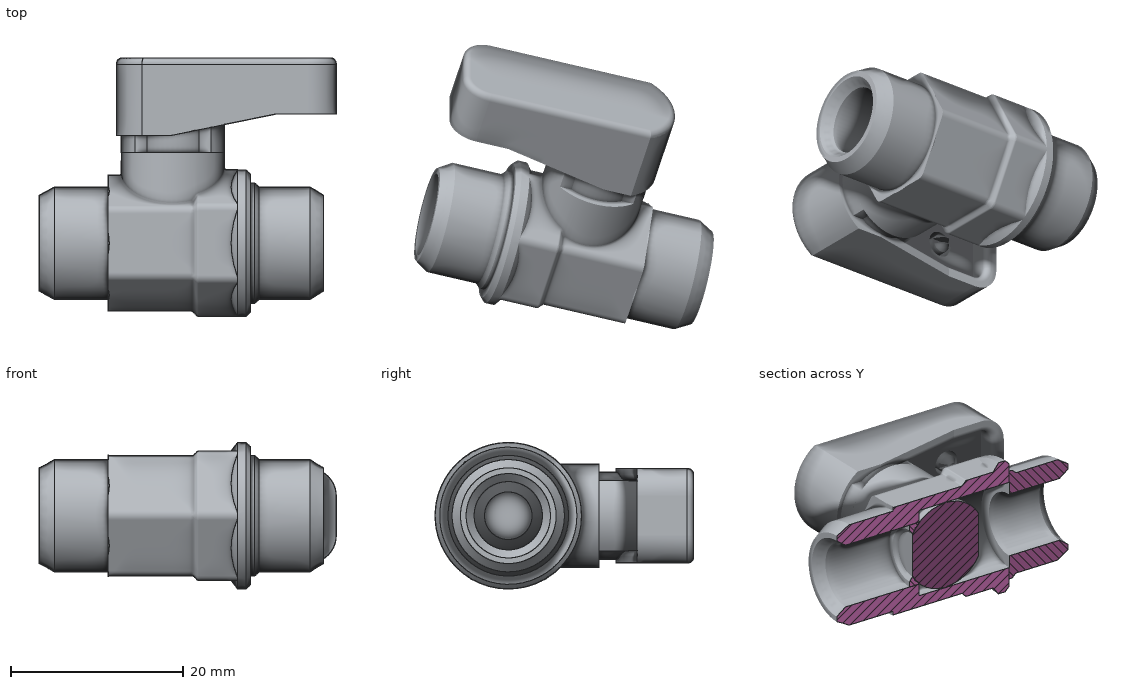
import cadquery as cq
import math


tolerance = 0.005

overall_length = 34.5

pipe_radius = 6.52
pipe_chamfer_radius = 5.55
bore_radius = 3.97
bore_mouth_radius = 4.9
bore_mouth_depth = 1.28
inlet_end = -15.52
inlet_chamfer_length = 1.75
outlet_end = 17.5
outlet_chamfer_length = 1.55

hex_start = -7.52
hex_step = 2.35
small_hex_apothem = 6.97
large_hex_apothem = 7.52
hex_corner_radius = 1.0
step_height = large_hex_apothem - small_hex_apothem
step_overlap = 0.2
step_blend = 0.28
lip_radius = 7.07
lip_width = 0.15

flange_diameter = 17.0
flange_radius = flange_diameter / 2
flange_cone_start = 6.75
flange_rim_start = 7.52
flange_rim_end = 8.5
flange_end = 9.05
flange_end_radius = 7.97

collar_radius = 7.0
collar_chamfer_start = 9.5
collar_end = 10.0

boss_radius = 6.0
boss_top = 10.55
boss_blend = 0.2

ball_radius = 5.5
ball_flat_radius = 2.75
seat_mouth_radius = 3.3
seat_thickness = 0.4
ball_flat_offset = math.sqrt(ball_radius**2 - ball_flat_radius**2)
chamber_start = -math.sqrt(ball_radius**2 - bore_radius**2)
seat_face = -ball_flat_offset - seat_thickness

handle_top = 21.53
handle_half_width = 5.5
handle_end = inlet_end + overall_length
handle_hub_end_radius = 6.55
handle_corner_radius = 3.17
skirt_bottom = 12.5
grip_bottom = 14.97
slope_start = -0.3
slope_end = 11.9
hub_radius = 5.07
hub_ear_half_width = 4.07

rim_width = 0.75
mouth_fillet = 0.7
hollow_wall = rim_width + mouth_fillet
hollow_roof = 17.45

cap_thickness = 0.75
cap_edge_fillet = 0.72
cap_bottom = handle_top - cap_thickness
stud_x = 12.55
stud_hole_radius = 1.55
stud_radius = 1.1
stud_tip_radius = 0.5
stud_shoulder = 17.18
stud_tip = 16.2
stud_slot_width = 0.7


def revolve_about_pipe(points):
    """Turn a closed (x, radius) outline about the pipe axis."""
    return cq.Workplane("XY").polyline(points).close().revolve(360, (0, 0, 0), (1, 0, 0))


def hex_bar(apothem, start, end):
    """Hexagonal bar along X with two flats facing +Z and -Z and rounded corners."""
    across_corners = 2 * apothem / math.cos(math.pi / 6)
    bar = cq.Workplane("YZ", origin=(start, 0, 0)).polygon(6, across_corners).extrude(end - start)
    return bar.edges("|X").fillet(hex_corner_radius)


def y_column(outline_radius, bottom, top, x=0):
    """Round column along Y."""
    plane = cq.Workplane("XZ", origin=(x, bottom, 0))
    return plane.circle(outline_radius).extrude(bottom - top)


def slab(x_start, x_end, half_width):
    """Selector for everything between two X positions."""
    return cq.selectors.BoxSelector(
        (x_start, -half_width, -half_width),
        (x_end, half_width, half_width),
    )


def make_hexagons():
    """Small and large hexagon joined by a 45 degree step with a rounded root and crest."""
    small_hex = hex_bar(small_hex_apothem, hex_start, flange_rim_start)
    sunk_start = hex_step - step_overlap
    sunk_depth = step_height + step_overlap
    large_hex = hex_bar(large_hex_apothem, sunk_start, flange_rim_start)
    large_hex = large_hex.faces("<X").chamfer(sunk_depth)
    hexagons = small_hex.union(large_hex)
    crest = hex_step + step_height
    root_edges = slab(sunk_start, hex_step + step_height / 2, flange_radius)
    crest_edges = slab(crest - tolerance, crest + tolerance, flange_radius)
    return hexagons.edges(root_edges).fillet(step_blend).edges(crest_edges).fillet(step_blend)


def is_boss_root(edge):
    """True for an edge that winds around the boss below its top."""
    samples = [edge.positionAt(t / 4) for t in range(5)]
    on_boss = all(abs(math.hypot(p.x, p.z) - boss_radius) < tolerance for p in samples)
    return on_boss and max(p.y for p in samples) < boss_top - tolerance


def make_housing():
    """Inlet, hexagons, boss and flange with the bore and the ball chamber."""
    boss = y_column(boss_radius, 0, boss_top)
    body = make_hexagons().union(boss)
    boss_root = [edge for edge in body.edges().vals() if is_boss_root(edge)]
    body = body.newObject(boss_root).fillet(boss_blend)

    flange = revolve_about_pipe([
        (flange_cone_start, 0),
        (flange_cone_start, large_hex_apothem),
        (flange_rim_start, flange_radius),
        (flange_rim_end, flange_radius),
        (flange_end, flange_end_radius),
        (flange_end, 0),
    ])
    inlet = revolve_about_pipe([
        (inlet_end, 0),
        (inlet_end, pipe_chamfer_radius),
        (inlet_end + inlet_chamfer_length, pipe_radius),
        (hex_start, pipe_radius),
        (hex_start, lip_radius),
        (hex_start + lip_width, small_hex_apothem),
        (hex_start + lip_width, 0),
    ])
    bore = revolve_about_pipe([
        (inlet_end, 0),
        (inlet_end, bore_mouth_radius),
        (inlet_end + bore_mouth_depth, bore_radius),
        (chamber_start, bore_radius),
        (chamber_start, ball_radius),
        (flange_end, ball_radius),
        (flange_end, 0),
    ])
    return body.union(flange).union(inlet).cut(bore)


def make_connector():
    """Outlet pipe end with a collar that butts against the flange."""
    return revolve_about_pipe([
        (flange_end, bore_radius),
        (flange_end, collar_radius),
        (collar_chamfer_start, collar_radius),
        (collar_end, pipe_radius),
        (outlet_end - outlet_chamfer_length, pipe_radius),
        (outlet_end, pipe_chamfer_radius),
        (outlet_end, bore_mouth_radius),
        (outlet_end - bore_mouth_depth, bore_radius),
    ])


def make_ball():
    """Closed ball with a flat towards each pipe end."""
    return (
        cq.Workplane("XY")
        .moveTo(-ball_flat_offset, 0)
        .lineTo(-ball_flat_offset, ball_flat_radius)
        .threePointArc((0, ball_radius), (ball_flat_offset, ball_flat_radius))
        .lineTo(ball_flat_offset, 0)
        .close()
        .revolve(360, (0, 0, 0), (1, 0, 0))
    )


def make_seat():
    """Ring in the inlet bore that bears on the ball."""
    arc_x = (chamber_start - ball_flat_offset) / 2
    arc_middle = (arc_x, math.sqrt(ball_radius**2 - arc_x**2))
    return (
        cq.Workplane("XY")
        .moveTo(seat_face, seat_mouth_radius)
        .lineTo(seat_face, bore_radius)
        .lineTo(chamber_start, bore_radius)
        .threePointArc(arc_middle, (-ball_flat_offset, ball_flat_radius))
        .close()
        .revolve(360, (0, 0, 0), (1, 0, 0))
    )


def handle_prism(bottom, top):
    """Outer outline of the handle: round about the hub, square with rounded corners at the grip."""
    arc_x = -math.sqrt(handle_hub_end_radius**2 - handle_half_width**2)
    prism = (
        cq.Workplane("XZ", origin=(0, bottom, 0))
        .moveTo(handle_end, -handle_half_width)
        .lineTo(handle_end, handle_half_width)
        .lineTo(arc_x, handle_half_width)
        .threePointArc((-handle_hub_end_radius, 0), (arc_x, -handle_half_width))
        .close()
        .extrude(bottom - top)
    )
    return prism.edges("|Y and >X").fillet(handle_corner_radius)


def make_hub():
    """Round hub with two flat-sided ears that are flush with the boss."""
    ears = y_column(boss_radius, boss_top, hollow_roof).intersect(
        cq.Workplane("XY").box(2 * boss_radius, 2 * handle_top, 2 * hub_ear_half_width)
    )
    return y_column(hub_radius, boss_top, hollow_roof).union(ears)


def make_handle():
    """Lever with a sloped underside, a hollow grip and a solid hub."""
    under_grip = (
        cq.Workplane("XY", origin=(0, 0, -handle_half_width))
        .moveTo(slope_start, skirt_bottom)
        .lineTo(slope_end, grip_bottom)
        .lineTo(handle_end, grip_bottom)
        .lineTo(handle_end, skirt_bottom)
        .close()
        .extrude(2 * handle_half_width)
    )
    hollow_end = handle_end - hollow_wall
    hollow_half_width = handle_half_width - hollow_wall
    hollow = (
        cq.Workplane("XY", origin=(0, skirt_bottom, 0))
        .box(hollow_end, hollow_roof - skirt_bottom, 2 * hollow_half_width, centered=(False, False, True))
        .edges("|Y and >X")
        .fillet(handle_corner_radius - hollow_wall)
    )
    shell = handle_prism(skirt_bottom, cap_bottom).cut(under_grip).cut(hollow)
    mouth_edges = cq.selectors.BoxSelector(
        (tolerance, skirt_bottom - tolerance, -hollow_half_width - tolerance),
        (hollow_end + tolerance, grip_bottom + tolerance, hollow_half_width + tolerance),
    )
    shell = shell.edges(mouth_edges).edges("not |Y").fillet(mouth_fillet)
    stud_hole = y_column(stud_hole_radius, hollow_roof, cap_bottom, stud_x)
    return shell.union(make_hub()).cut(stud_hole)


def make_cap():
    """Cover plate with a split, pointed snap stud that reaches into the hollow."""
    plate = handle_prism(cap_bottom, handle_top).faces(">Y").edges().fillet(cap_edge_fillet)
    stud = (
        cq.Workplane("XY", origin=(stud_x, 0, 0))
        .polyline([
            (0, cap_bottom),
            (stud_radius, cap_bottom),
            (stud_radius, stud_shoulder),
            (stud_tip_radius, stud_tip),
            (0, stud_tip),
        ])
        .close()
        .revolve(360, (0, 0, 0), (0, 1, 0))
    )
    slot = cq.Workplane("XY", origin=(stud_x, stud_tip, 0)).box(
        2 * stud_radius, 2 * (hollow_roof - stud_tip), stud_slot_width
    )
    return plate.union(stud.cut(slot))


housing = make_housing()
connector = make_connector()
ball = make_ball()
seat = make_seat()
handle = make_handle()
cap = make_cap()

result = cq.Compound.makeCompound([
    housing.solids().val(),
    connector.solids().val(),
    ball.solids().val(),
    seat.solids().val(),
    handle.solids().val(),
    cap.solids().val(),
])